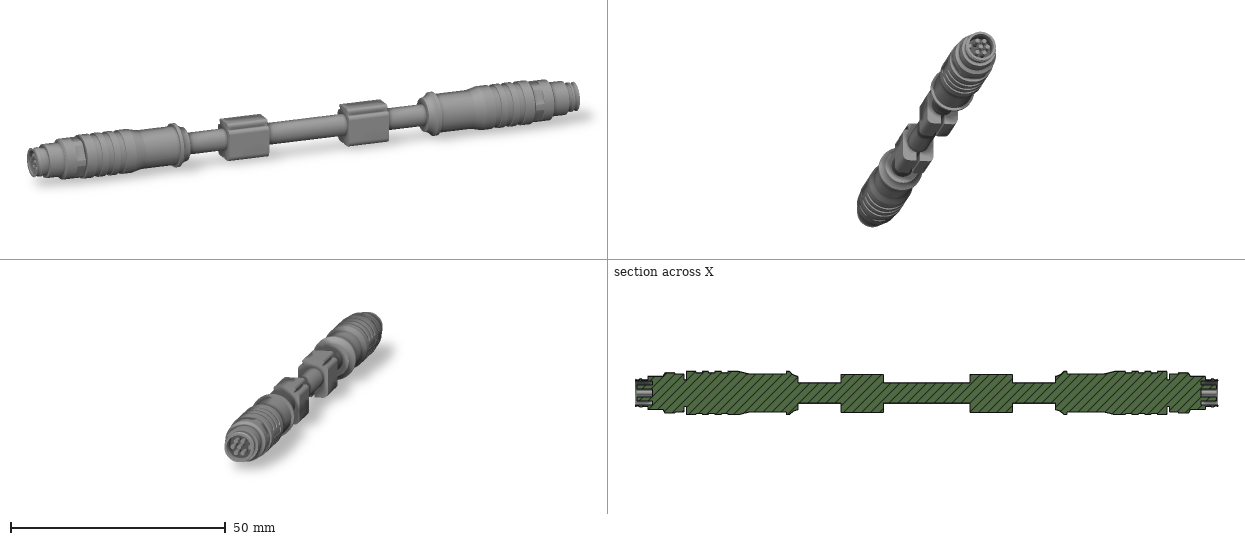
import cadquery as cq
import math

total_length = 135.75
tip_y = total_length / 2
cable_diameter = 5.1

tip_groove_end = 1.15
tip_ring_end = 1.65
nose_start = 2.9
collar_start = 6.55
collar_bevel_length = 0.4
collar_bevel_height = 0.7
hex_start = 9.4
hex_end = 11.5
grip_start = 11.9
grip_taper_start = 24.1
sleeve_start = 26.6
flare_start = 35.2
flare_end = 36.0
connector_length = 38.0

tail_mid_drop = 0.7
tail_mid_run = 0.45

tip_ring_diameter = 6.9
tip_neck_diameter = 6.5
tip_groove_depth = 0.3
nose_diameter = 8.0
collar_diameter = 9.6
undercut_diameter = 6.5
grip_diameter = 10.3
sleeve_diameter = 9.1
flare_diameter = grip_diameter
tail_diameter = nose_diameter

flat_count = 6
rib_half_angle = 8.5
flat_half_angle = 180 / flat_count - rib_half_angle
across_flats = collar_diameter * math.cos(math.radians(flat_half_angle))

groove_count = 3
groove_width = 1.4
groove_depth = 0.3
groove_pitch = 2.95
first_groove_centre = 14.95
groove_end_angle = 21.0

tool_overlap = 1.0

marker_width = 1.2
marker_depth = 0.15
marker_length = (groove_count - 1) * groove_pitch + groove_width
marker_centre = first_groove_centre + (groove_count - 1) * groove_pitch / 2

socket_diameter = 5.8
socket_depth = 4.0
pin_diameter = 1.0
pin_recess = 0.4
pin_circle_radius = 1.6
outer_pin_angles = (-120, -60, 0, 60, 120)
key_width = 0.8
key_height = 0.7

clip_length = 10.0
clip_centre = 15.0
clip_half_width = 3.6
clip_bottom = -4.6
clip_shoulder = 2.9
clip_shoulder_radius = 0.9
clip_foot_radius = 1.3
clip_split_width = 0.8
neck_width = 4.6
cap_width = 5.3
cap_bottom = 3.6
cap_top = 4.4
cap_radius = 0.7


def cylinder_y(diameter, y_start, length, x=0, z=0):
    """Cylinder along +Y whose first end is at y_start."""
    disc = cq.Workplane("XZ", origin=(x, y_start, z)).circle(diameter / 2)
    return disc.extrude(-length)


def box_y(x_min, x_max, y_min, y_max, z_min, z_max):
    """Box given by its limits."""
    size = (x_max - x_min, y_max - y_min, z_max - z_min)
    centre = ((x_min + x_max) / 2, (y_min + y_max) / 2, (z_min + z_max) / 2)
    return cq.Workplane("XY").box(*size).translate(centre)


def connector_body():
    """Turned body with its tip at y = 0, running toward +Y."""
    flare_radius = flare_diameter / 2
    tail_radius = tail_diameter / 2
    tail_drop = flare_radius - tail_radius
    tail_run = connector_length - flare_end
    profile = (
        cq.Workplane("XY")
        .lineTo(tip_ring_diameter / 2, 0)
        .threePointArc(
            (tip_ring_diameter / 2 - tip_groove_depth, tip_groove_end / 2),
            (tip_ring_diameter / 2, tip_groove_end),
        )
        .lineTo(tip_ring_diameter / 2, tip_ring_end)
        .lineTo(tip_neck_diameter / 2, tip_ring_end)
        .lineTo(tip_neck_diameter / 2, nose_start)
        .lineTo(nose_diameter / 2, nose_start)
        .lineTo(nose_diameter / 2, collar_start)
        .lineTo(collar_diameter / 2 - collar_bevel_height, collar_start)
        .lineTo(collar_diameter / 2, collar_start + collar_bevel_length)
        .lineTo(collar_diameter / 2, hex_end)
        .lineTo(undercut_diameter / 2, hex_end)
        .lineTo(undercut_diameter / 2, grip_start)
        .lineTo(grip_diameter / 2, grip_start)
        .lineTo(grip_diameter / 2, grip_taper_start)
        .lineTo(sleeve_diameter / 2, sleeve_start)
        .lineTo(sleeve_diameter / 2, flare_start)
        .lineTo(flare_radius, flare_start)
        .lineTo(flare_radius, flare_end)
        .threePointArc(
            (flare_radius - tail_mid_drop * tail_drop, flare_end + tail_mid_run * tail_run),
            (tail_radius, connector_length),
        )
        .lineTo(0, connector_length)
        .close()
    )
    return profile.revolve(360, (0, 0, 0), (0, 1, 0))


def wrench_flats():
    """Material outside the six flats, behind the collar."""
    length = hex_end - hex_start
    blank = cylinder_y(grip_diameter + tool_overlap, hex_start, length)
    across_corners = across_flats / math.cos(math.pi / flat_count)
    core = cq.Workplane("XZ", origin=(0, hex_start, 0)).polygon(flat_count, across_corners).extrude(-length)
    return blank.cut(core)


def finger_groove(y_centre):
    """Groove around the grip, open at the -X side and closed there by two round ends."""
    floor_diameter = grip_diameter - 2 * groove_depth
    y_start = y_centre - groove_width / 2
    outside = grip_diameter + tool_overlap
    ring = cylinder_y(outside, y_start, groove_width).cut(cylinder_y(floor_diameter, y_start, groove_width))
    half_gap = outside * math.tan(math.radians(groove_end_angle))
    gap = (
        cq.Workplane("XZ", origin=(0, y_start, 0))
        .polyline([(0, 0), (-outside, half_gap), (-outside, -half_gap)])
        .close()
        .extrude(-groove_width)
    )
    groove = ring.cut(gap)
    for angle in (180 - groove_end_angle, 180 + groove_end_angle):
        end = (
            cq.Workplane("YZ", origin=(0, y_centre, 0))
            .circle(groove_width / 2)
            .extrude(grip_diameter / 2 + tool_overlap)
            .rotate((0, 0, 0), (0, 1, 0), -angle)
            .cut(cylinder_y(floor_diameter, y_start, groove_width))
        )
        groove = groove.union(end)
    return groove


def grip_marker():
    """Shallow flat recess along the grip on the -X side."""
    floor_x = marker_depth - grip_diameter / 2
    return box_y(
        -grip_diameter, floor_x,
        marker_centre - marker_length / 2, marker_centre + marker_length / 2,
        -marker_width / 2, marker_width / 2,
    )


def socket_contacts():
    """Contact pins and the key on the -X side of the socket wall."""
    pin_length = socket_depth - pin_recess
    places = [(0, 0)]
    for pin_angle in outer_pin_angles:
        angle = math.radians(pin_angle)
        places.append((pin_circle_radius * math.cos(angle), pin_circle_radius * math.sin(angle)))
    socket_radius = socket_diameter / 2
    contacts = box_y(
        -socket_radius, key_height - socket_radius,
        pin_recess, socket_depth,
        -key_width / 2, key_width / 2,
    )
    for x, z in places:
        contacts = contacts.union(cylinder_y(pin_diameter, pin_recess, pin_length, x, z))
    return contacts


def connector():
    """Complete connector with its tip at y = 0."""
    body = connector_body().cut(wrench_flats())
    for index in range(groove_count):
        body = body.cut(finger_groove(first_groove_centre + index * groove_pitch))
    body = body.cut(grip_marker())
    body = body.cut(cylinder_y(socket_diameter, 0, socket_depth))
    return body.union(socket_contacts())


def cable_clip():
    """Clip around the cable, centred on y = 0: body split underneath, and a cap on a narrow neck."""
    y_min = -clip_length / 2
    y_max = clip_length / 2
    body = box_y(-clip_half_width, clip_half_width, y_min, y_max, clip_bottom, clip_shoulder)
    body = body.edges("|Y and >Z").fillet(clip_shoulder_radius)
    body = body.edges("|Y and <Z").fillet(clip_foot_radius)
    split = box_y(-clip_split_width / 2, clip_split_width / 2, y_min, y_max, clip_bottom, 0)
    neck = box_y(-neck_width / 2, neck_width / 2, y_min, y_max, 0, cap_bottom)
    cap = box_y(-cap_width / 2, cap_width / 2, y_min, y_max, cap_bottom, cap_top)
    cap = cap.edges("|Y and >Z").fillet(cap_radius)
    return body.union(neck).union(cap).cut(split)


cable_half_length = tip_y - connector_length
cable = cylinder_y(cable_diameter, -cable_half_length, 2 * cable_half_length)

front_connector = connector().translate((0, -tip_y, 0))
rear_connector = front_connector.mirror("XZ")

result = cable.union(front_connector).union(rear_connector)
for clip_y in (-clip_centre, clip_centre):
    result = result.union(cable_clip().translate((0, clip_y, 0)))